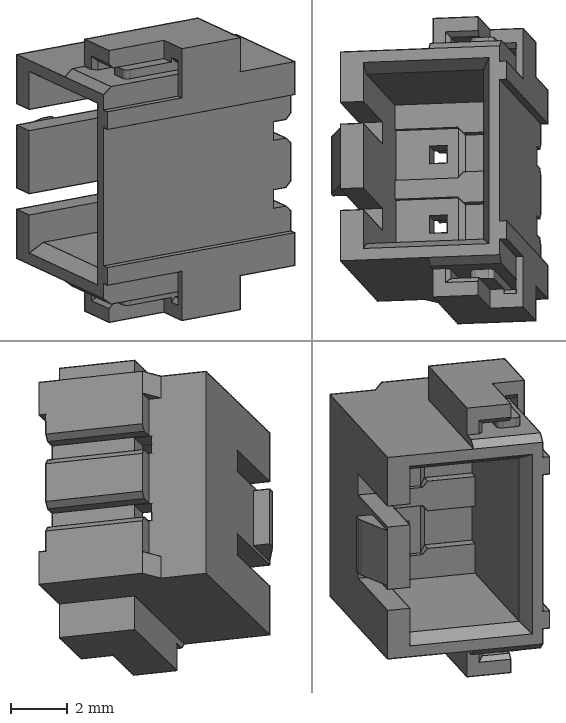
import cadquery as cq


body_width = 5.7
body_half_height = 3.75
body_depth = 7.08
total_depth = 7.8

latch_wall = 0.82
cavity_right = 5.01
cavity_half_height = 3.04
cavity_depth = 6.0
flare = 0.3
flare_depth = 0.6

pin_pitch = 2.5
pin_hole = 0.63
pin_x = 2.33
recess_half_height = 0.91
recess_step_x = 3.06
recess_depth = 0.2
recess_step = 0.21

slot_depth = 3.6
slot_height = 0.78
slot_centre_z = 1.55
hook_half_height = 1.02
hook_reach = 0.6
hook_length = 1.82
hook_ramp_length = 1.47
hook_radius = 0.55

foot_start_x = 1.67
foot_slope_width = 0.45
foot_slope_height = 0.81
foot_gap = 0.68
foot_chamfer = 0.21

rail_thickness = 0.25
rail_inner_z = 2.54
rail_front_height = 0.65

ear_left = 3.16
ear_arm_right = 4.77
ear_top = 5.0
ear_front = 0.82
ear_step_y = 3.1
ear_back = 5.54
plate_thickness = 0.25
plate_bevel_length = 0.31

pocket_left = 3.77
pocket_height = 0.33
pocket_back = 5.0
pocket_bevel = 0.17
tongue_right = 5.26
tongue_width = 0.86
tongue_front = 1.19
tongue_radius = 0.19

outer_right = body_width + rail_thickness
plate_top = body_half_height + plate_thickness
pocket_top = plate_top + pocket_height
pin_rows = (-pin_pitch / 2, pin_pitch / 2)


def block(x0, x1, y0, y1, z0, z1):
    return cq.Workplane("XY").box(x1 - x0, y1 - y0, z1 - z0, centered=False).translate((x0, y0, z0))


def plan_prism(points, z0, z1):
    """Extrude an (X, Y) outline from z0 to z1."""
    return cq.Workplane("XY").workplane(offset=z0).polyline(points).close().extrude(z1 - z0)


def side_prism(points, x0, x1):
    """Extrude a (Y, Z) outline from x0 to x1."""
    return cq.Workplane("YZ").workplane(offset=x0).polyline(points).close().extrude(x1 - x0)


def mirrored_pair(upper):
    """Join an upper feature with its mirror image below Z = 0."""
    return upper.union(upper.mirror("XY"))


def make_cavity():
    main = block(latch_wall, cavity_right, 0, cavity_depth, -cavity_half_height, cavity_half_height)
    mouth_half_height = cavity_half_height + flare
    mouth_width = cavity_right + flare - latch_wall
    inner_width = cavity_right - latch_wall
    mouth = (
        cq.Workplane("XZ", origin=(latch_wall, 0, 0))
        .center(mouth_width / 2, 0)
        .rect(mouth_width, 2 * mouth_half_height)
        .workplane(offset=-flare_depth)
        .center((inner_width - mouth_width) / 2, 0)
        .rect(inner_width, 2 * cavity_half_height)
        .loft(ruled=True)
    )
    return main.union(mouth)


def make_pin_recess(z):
    """Wide shallow recess that slopes down at 45 degrees into a narrower, deeper one."""
    narrow_half_height = recess_half_height - recess_step
    step_end_x = recess_step_x + recess_step
    shallow_y = cavity_depth + recess_depth
    deep_y = shallow_y + recess_step
    floor_profile = [
        (latch_wall, cavity_depth),
        (latch_wall, shallow_y),
        (recess_step_x, shallow_y),
        (step_end_x, deep_y),
        (cavity_right, deep_y),
        (cavity_right, cavity_depth),
    ]
    upper_outline = [
        (latch_wall, recess_half_height),
        (recess_step_x, recess_half_height),
        (step_end_x, narrow_half_height),
        (cavity_right, narrow_half_height),
    ]
    lower_outline = [(x, -height) for x, height in reversed(upper_outline)]
    outline = (
        cq.Workplane("XZ")
        .polyline(upper_outline + lower_outline)
        .close()
        .extrude(-total_depth)
    )
    profile = plan_prism(floor_profile, -recess_half_height, recess_half_height)
    return profile.intersect(outline).translate((0, 0, z))


def make_pin_hole(z):
    half = pin_hole / 2
    return block(pin_x - half, pin_x + half, 0, total_depth, z - half, z + half)


def make_hook():
    """Latch hook with a ramp rising from the mouth to a rounded crest."""
    outline = [(0, 0), (-hook_reach, hook_ramp_length), (-hook_reach, hook_length), (0, hook_length)]
    hook = plan_prism(outline, -hook_half_height, hook_half_height)
    crest = cq.selectors.NearestToPointSelector((-hook_reach, hook_ramp_length, 0))
    return hook.edges("|Z").edges(crest).fillet(hook_radius)


def make_rear_feet():
    """Row of feet behind the shroud, separated by a chamfered channel at each pin."""
    foot_left = foot_start_x + foot_slope_width
    feet = block(foot_left, body_width, body_depth, total_depth, -body_half_height, body_half_height)
    ramp = plan_prism(
        [(foot_start_x, body_depth), (foot_left, body_depth), (foot_left, total_depth)],
        body_half_height - foot_slope_height,
        body_half_height,
    )
    feet = feet.union(mirrored_pair(ramp))
    half_gap = foot_gap / 2
    half_mouth = half_gap + foot_chamfer
    chamfer_y = total_depth - foot_chamfer
    channel = side_prism(
        [
            (body_depth, -half_gap),
            (chamfer_y, -half_gap),
            (total_depth, -half_mouth),
            (total_depth, half_mouth),
            (chamfer_y, half_gap),
            (body_depth, half_gap),
        ],
        0,
        body_width,
    )
    for z in pin_rows:
        feet = feet.cut(channel.translate((0, 0, z)))
    return feet


def make_upper_rail():
    front_top = rail_inner_z + rail_front_height
    front = block(body_width, outer_right, 0, total_depth, rail_inner_z, front_top)
    rear = block(body_width, outer_right, ear_step_y, total_depth, rail_inner_z, body_half_height)
    return front.union(rear)


def make_ear_pocket():
    """Pocket with 45-degree lead-ins at the arm mouth and at the open stretch beside the tongue."""
    pocket = block(pocket_left, body_width, ear_front, pocket_back, plate_top, pocket_top)
    left_slope = plan_prism(
        [
            (pocket_left - pocket_bevel, ear_front),
            (pocket_left, ear_front + pocket_bevel),
            (ear_arm_right, ear_front + pocket_bevel),
            (ear_arm_right, ear_front),
        ],
        plate_top,
        pocket_top + pocket_bevel,
    )

    def top_slope(y, x0, x1):
        points = [
            (y, plate_top),
            (y, pocket_top + pocket_bevel),
            (y + pocket_bevel, pocket_top),
            (y + pocket_bevel, plate_top),
        ]
        return side_prism(points, x0, x1)

    arm_mouth = left_slope.intersect(
        top_slope(ear_front, pocket_left - pocket_bevel, ear_arm_right)
    )
    return pocket.union(arm_mouth).union(top_slope(ear_step_y, tongue_right, body_width))


def make_upper_ear():
    """Bevelled base plate under an L-shaped cover, hollow inside, with a rounded tongue in the hollow."""
    plate = side_prism(
        [
            (0, body_half_height),
            (plate_bevel_length, plate_top),
            (ear_back, plate_top),
            (ear_back, body_half_height),
        ],
        ear_left,
        body_width,
    )
    arm = block(ear_left, ear_arm_right, ear_front, ear_back, plate_top, ear_top)
    head = block(ear_left, outer_right, ear_step_y, ear_back, body_half_height, ear_top)
    tongue = block(
        tongue_right - tongue_width, tongue_right, tongue_front, pocket_back, plate_top, pocket_top
    )
    tongue = tongue.edges("|Z and <Y").fillet(tongue_radius)
    return arm.union(head).cut(make_ear_pocket()).union(plate).union(tongue)


body = block(0, body_width, 0, body_depth, -body_half_height, body_half_height)
body = body.union(make_rear_feet()).cut(make_cavity())

for pin_z in pin_rows:
    body = body.cut(make_pin_recess(pin_z)).cut(make_pin_hole(pin_z))

upper_slot = block(
    0, latch_wall, 0, slot_depth, slot_centre_z - slot_height / 2, slot_centre_z + slot_height / 2
)
body = body.cut(mirrored_pair(upper_slot))

result = (
    body.union(make_hook())
    .union(mirrored_pair(make_upper_rail()))
    .union(mirrored_pair(make_upper_ear()))
)